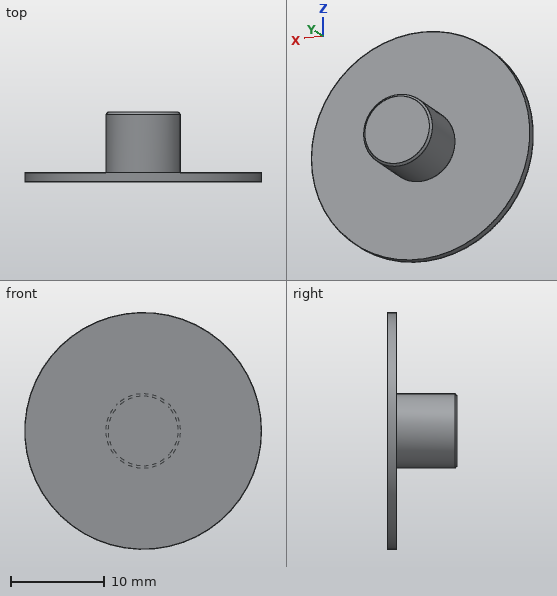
import cadquery as cq

disc_diameter = 25.4
disc_thickness = 1.0
stem_diameter = 8.0
overall_depth = 7.5
stem_chamfer = 0.25

stem_length = overall_depth - disc_thickness


def cylinder_along_y(diameter, start_y, length):
    """Solid cylinder centred on the Y axis, growing from start_y toward +Y."""
    base_plane = cq.Workplane("XZ", origin=(0, start_y, 0))
    return base_plane.circle(diameter / 2).extrude(-length)


disc = cylinder_along_y(disc_diameter, 0, disc_thickness)

stem = cylinder_along_y(stem_diameter, disc_thickness, stem_length)
stem = stem.faces(">Y").chamfer(stem_chamfer)

result = disc.union(stem)